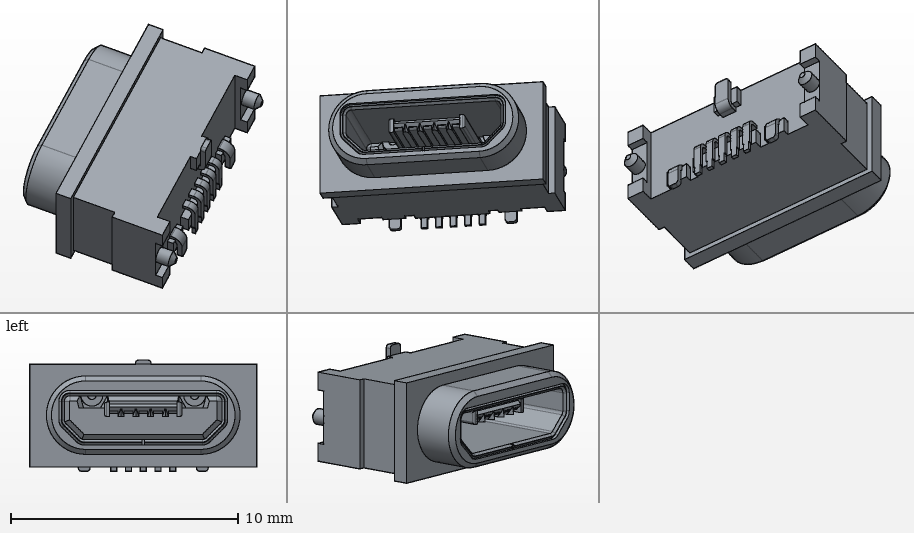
import cadquery as cq

FLANGE_FRONT = 2.0
FLANGE_BACK = 2.71
BODY_STEP = 4.7
BODY_BACK = 6.52
SIDE_BACK = 6.8
FOOT_BACK = 7.12
PIN_END = 7.62

WIDTH = 10.0
FLANGE_HEIGHT = 4.53
BODY_HEIGHT = 4.02
WAIST_WIDTH = 9.44
FOOT_SIZE = 0.81
NOSE_WIDTH = 8.52
NOSE_HEIGHT = 3.45
NOSE_Z = 0.02
NOSE_CHAMFER = 0.22

PIN_DIAMETER = 0.71
PIN_CHAMFER = 0.22
PIN_Z = -0.09
PIN_Y = (WIDTH - PIN_DIAMETER) / 2

MOUTH_HALF_WIDTH = 3.71
MOUTH_TOP = 1.11
MOUTH_BOTTOM = -1.29
MOUTH_CORNER = 0.91
MOUTH_ROUND = 0.48
MOUTH_LOWER_ROUND = 0.46
LIP_WALL = 0.24
LIP_FRONT = 0.06
LIP_BEVEL = 0.11
LIP_SEAM = 0.09
CAVITY_END = 5.6

PLUG_FRONT = 4.6
PLUG_BEVEL = 0.23
POCKET_BOTTOM = 0.34
POCKET_DEPTH = 0.26
POCKET_OUTER_TOP_Y = 2.97
POCKET_OUTER_BOTTOM_Y = 2.83
POCKET_INNER_TOP_Y = 1.38
POCKET_INNER_BOTTOM_Y = 1.68
POCKET_FLOOR_INSET = 0.2
LATCH_Y = 2.26
LATCH_Z = 0.9
LATCH_OUTER_RADIUS = 0.48
LATCH_INNER_RADIUS = 0.19
LATCH_LENGTH = 0.15

CONTACT_PITCH = 0.65
TONGUE_FRONT = 0.9
TONGUE_WIDTH = 3.42
TONGUE_TOP = 0.51
TONGUE_BOTTOM = -0.03
TONGUE_NOSE_Z = 0.37
TONGUE_TOP_SLOPE = 0.15
TONGUE_BOTTOM_SLOPE = 0.25
TONGUE_CHEEK_WIDTH = 0.23
TONGUE_CHEEK_TOP = 0.59
TONGUE_CHEEK_ROUND = 0.1
GROOVE_WIDTH = 0.38
GROOVE_TOP = 0.21
RIB_TOP = 0.3
RIB_WIDTH = CONTACT_PITCH - GROOVE_WIDTH
BLADE_BOTTOM = 0.09
BLADE_SETBACK = 0.2
SHOULDER_WIDTH = 3.16
SHOULDER_EDGE = 0.62

CONTACT_COUNT = 5
CONTACT_WIDTH = 0.35
CONTACT_TIP_WIDTH = 0.27
CONTACT_THICKNESS = 0.17
CONTACT_BEND = 0.35
CONTACT_TOP = -0.6
SUPPORT_WIDTH = 3.34
SUPPORT_BACK = 6.9
LEAD_END = 2.45

TAB_THICKNESS = 0.24
TAB_ROUND = 0.14
UPPER_TAB_WIDTH = 0.69
UPPER_TAB_BEND = 0.34
UPPER_TAB_START = 0.87
LOWER_TAB_WIDTH = 0.52
LOWER_TAB_BEND = 0.53
LOWER_TAB_START = -1.12
LOWER_TAB_Y = 2.6

TAB_REST_WIDTH = 1.22
REST_BACK = 6.81
SADDLE_WIDTH = 1.03
SADDLE_TOP = -1.21
SADDLE_DIP = 0.15

CONTACT_YS = [CONTACT_PITCH * (i - (CONTACT_COUNT - 1) / 2) for i in range(CONTACT_COUNT)]
RIB_YS = [(a + b) / 2 for a, b in zip(CONTACT_YS, CONTACT_YS[1:])]
BODY_BOTTOM = -BODY_HEIGHT / 2


def block(x_range, y_range, z_range):
    """Box between the given limits."""
    spans = (x_range, y_range, z_range)
    sizes = [high - low for low, high in spans]
    corner = [low for low, high in spans]
    return cq.Workplane("XY").box(*sizes, centered=False).translate(tuple(corner))


def centred_block(x_range, width, z_range, y=0):
    """Box of a given width centred on a Y position."""
    return block(x_range, (y - width / 2, y + width / 2), z_range)


def section(x):
    """Plane across the part: local axes are Y and Z, normal is +X."""
    return cq.Workplane("YZ", origin=(x, 0, 0))


def mouth_prism(inset, front, back, round_lower=True):
    """Mouth-shaped prism, its outline shrunk evenly by the inset."""
    corner_shift = inset * (2 - 2**0.5)
    half = MOUTH_HALF_WIDTH - inset
    top = MOUTH_TOP - inset
    bottom = MOUTH_BOTTOM + inset
    corner = MOUTH_CORNER - corner_shift
    outline = [
        (-half, top),
        (half, top),
        (half, bottom + corner),
        (half - corner, bottom),
        (corner - half, bottom),
        (-half, bottom + corner),
    ]
    prism = section(front).polyline(outline).close().extrude(back - front)
    prism = prism.edges("|X").filter(lambda edge: edge.Center().z > 0).fillet(MOUTH_ROUND - inset)
    if round_lower:
        lower_edges = prism.edges("|X").filter(lambda edge: edge.Center().z < 0)
        prism = lower_edges.fillet(MOUTH_LOWER_ROUND - inset)
    return prism


def make_housing():
    nose = (
        section(0)
        .center(0, NOSE_Z)
        .slot2D(NOSE_WIDTH, NOSE_HEIGHT)
        .extrude(FLANGE_FRONT)
        .faces("<X")
        .chamfer(NOSE_CHAMFER)
    )
    flange = centred_block((FLANGE_FRONT, FLANGE_BACK), WIDTH, (-FLANGE_HEIGHT / 2, FLANGE_HEIGHT / 2))
    body_z = (BODY_BOTTOM, -BODY_BOTTOM)
    waist = centred_block((FLANGE_BACK, BODY_STEP), WAIST_WIDTH, body_z)
    rear = centred_block((BODY_STEP, BODY_BACK), WIDTH, body_z)
    housing = nose.union(flange).union(waist).union(rear)

    for side in (-1, 1):
        y = side * (WIDTH - FOOT_SIZE) / 2
        housing = housing.union(centred_block((BODY_BACK, SIDE_BACK), FOOT_SIZE, body_z, y))
        for low in (BODY_BOTTOM, -BODY_BOTTOM - FOOT_SIZE):
            foot = centred_block((SIDE_BACK, FOOT_BACK), FOOT_SIZE, (low, low + FOOT_SIZE), y)
            housing = housing.union(foot)
        pin = (
            section(BODY_BACK)
            .center(side * PIN_Y, PIN_Z)
            .circle(PIN_DIAMETER / 2)
            .extrude(PIN_END - BODY_BACK)
            .faces(">X")
            .chamfer(PIN_CHAMFER)
        )
        housing = housing.union(pin)
    return housing


def cut_mouth(housing):
    """Open the cavity and leave a bevelled shell lip, split at the bottom, in its mouth."""
    lip_depth = 2 * LIP_BEVEL
    lip = mouth_prism(0, LIP_FRONT, LIP_FRONT + lip_depth)
    lip = lip.cut(mouth_prism(LIP_WALL, LIP_FRONT, LIP_FRONT + lip_depth))
    lip = lip.faces("<X").chamfer(LIP_BEVEL)
    seam_z = (MOUTH_BOTTOM, MOUTH_BOTTOM + LIP_WALL)
    lip = lip.cut(centred_block((LIP_FRONT, LIP_FRONT + LIP_BEVEL), LIP_SEAM, seam_z))

    housing = housing.cut(mouth_prism(0, 0, LIP_FRONT + lip_depth))
    housing = housing.cut(mouth_prism(LIP_WALL, 0, CAVITY_END))
    return housing.union(lip)


def make_plug():
    """Bevelled insulator block with a tapered pocket and a latch ring on each side of the tongue root."""
    plug = mouth_prism(LIP_WALL, PLUG_FRONT, CAVITY_END, round_lower=False)
    plug = plug.faces("<X").chamfer(PLUG_BEVEL)
    cavity_top = MOUTH_TOP - LIP_WALL
    floor = PLUG_FRONT + POCKET_DEPTH

    def pocket_outline(x, inset, side):
        outline = [
            (POCKET_INNER_TOP_Y + inset, cavity_top),
            (POCKET_OUTER_TOP_Y - inset, cavity_top),
            (POCKET_OUTER_BOTTOM_Y - inset, POCKET_BOTTOM),
            (POCKET_INNER_BOTTOM_Y + inset, POCKET_BOTTOM),
        ]
        return cq.Wire.makePolygon([cq.Vector(x, side * y, z) for y, z in outline], close=True)

    for side in (-1, 1):
        outlines = [pocket_outline(PLUG_FRONT, 0, side), pocket_outline(floor, POCKET_FLOOR_INSET, side)]
        plug = plug.cut(cq.Workplane(cq.Solid.makeLoft(outlines, True)))

    rings = (
        section(floor - LATCH_LENGTH)
        .pushPoints([(-LATCH_Y, LATCH_Z), (LATCH_Y, LATCH_Z)])
        .circle(LATCH_OUTER_RADIUS)
        .circle(LATCH_INNER_RADIUS)
        .extrude(LATCH_LENGTH)
    )
    rings = rings.intersect(centred_block((PLUG_FRONT, floor), WIDTH, (POCKET_BOTTOM, cavity_top)))
    shoulder = (
        centred_block((PLUG_FRONT, CAVITY_END), SHOULDER_WIDTH, (TONGUE_TOP, cavity_top))
        .edges("<X and >Z")
        .chamfer(cavity_top - SHOULDER_EDGE)
    )
    return plug.union(rings).union(shoulder)


def make_tongue():
    """Wedge-nosed tongue: rounded cheeks, pointed ribs and a contact blade in each groove."""
    profile = [
        (CAVITY_END, TONGUE_BOTTOM),
        (TONGUE_FRONT + TONGUE_BOTTOM_SLOPE, TONGUE_BOTTOM),
        (TONGUE_FRONT, TONGUE_NOSE_Z),
        (TONGUE_FRONT + TONGUE_TOP_SLOPE, TONGUE_TOP),
        (CAVITY_END, TONGUE_TOP),
    ]
    core_half_width = TONGUE_WIDTH / 2 - TONGUE_CHEEK_WIDTH
    tongue = cq.Workplane("XZ").polyline(profile).close().extrude(core_half_width, both=True)
    for y in CONTACT_YS:
        groove_x = (TONGUE_FRONT, CAVITY_END)
        tongue = tongue.cut(centred_block(groove_x, GROOVE_WIDTH, (TONGUE_BOTTOM, GROOVE_TOP), y))
        blade_x = (TONGUE_FRONT + BLADE_SETBACK, CAVITY_END)
        blade = centred_block(blade_x, GROOVE_WIDTH, (BLADE_BOTTOM, GROOVE_TOP), y)
        blade = blade.edges("<X and <Z").fillet((GROOVE_TOP - BLADE_BOTTOM) / 2)
        tongue = tongue.union(blade)
    for y in RIB_YS:
        rib_back = TONGUE_FRONT + TONGUE_BOTTOM_SLOPE
        point = [(TONGUE_FRONT, y), (rib_back, y + RIB_WIDTH / 2), (rib_back, y - RIB_WIDTH / 2)]
        rib = cq.Workplane("XY", origin=(0, 0, TONGUE_BOTTOM)).polyline(point).close()
        tongue = tongue.union(rib.extrude(RIB_TOP - TONGUE_BOTTOM))
    for side in (-1, 1):
        y = side * (TONGUE_WIDTH - TONGUE_CHEEK_WIDTH) / 2
        cheek_z = (TONGUE_BOTTOM, TONGUE_CHEEK_TOP)
        cheek = centred_block((TONGUE_FRONT, CAVITY_END), TONGUE_CHEEK_WIDTH, cheek_z, y)
        outer_face = cheek.faces(">Y" if side > 0 else "<Y")
        cheek = outer_face.edges("not >X").fillet(TONGUE_CHEEK_ROUND)
        tongue = tongue.union(cheek)
    return tongue


def bent_strip(width, thickness, bend, start_z, end_z, y):
    """Strip leaving the back face at start_z and bending up or down, flush with the feet, to end_z."""
    turn = 1 if end_z > start_z else -1
    diagonal = 0.5**0.5
    inner_bend = bend - thickness
    outer_x = FOOT_BACK
    bend_x = outer_x - bend
    centre_z = start_z + turn * bend
    profile = (
        cq.Workplane("XZ", origin=(0, y + width / 2, 0))
        .moveTo(BODY_BACK, start_z)
        .lineTo(bend_x, start_z)
        .threePointArc((bend_x + bend * diagonal, centre_z - turn * bend * diagonal), (outer_x, centre_z))
        .lineTo(outer_x, end_z)
        .lineTo(outer_x - thickness, end_z)
        .lineTo(outer_x - thickness, centre_z)
        .threePointArc(
            (bend_x + inner_bend * diagonal, centre_z - turn * inner_bend * diagonal),
            (bend_x, start_z + turn * thickness),
        )
        .lineTo(BODY_BACK, start_z + turn * thickness)
        .close()
    )
    return profile.extrude(width)


def make_contact(y):
    contact = bent_strip(CONTACT_WIDTH, CONTACT_THICKNESS, CONTACT_BEND, CONTACT_TOP, BODY_BOTTOM, y)
    tip_x = (FOOT_BACK - CONTACT_THICKNESS, FOOT_BACK)
    return contact.union(centred_block(tip_x, CONTACT_TIP_WIDTH, (-LEAD_END, BODY_BOTTOM), y))


def make_upper_tab():
    tab = bent_strip(UPPER_TAB_WIDTH, TAB_THICKNESS, UPPER_TAB_BEND, UPPER_TAB_START, LEAD_END, 0)
    return tab.faces(">Z").edges("|X").fillet(TAB_ROUND)


def make_lower_tab(y):
    tab = bent_strip(LOWER_TAB_WIDTH, TAB_THICKNESS, LOWER_TAB_BEND, LOWER_TAB_START, -LEAD_END, y)
    return tab.faces("<Z").edges("|X").fillet(TAB_ROUND)


def make_saddle(y):
    """Block under a lower tab, its top dished to a shallow V."""
    half = SADDLE_WIDTH / 2
    outline = [
        (y - half, BODY_BOTTOM),
        (y + half, BODY_BOTTOM),
        (y + half, SADDLE_TOP),
        (y, SADDLE_TOP - SADDLE_DIP),
        (y - half, SADDLE_TOP),
    ]
    return section(BODY_BACK).polyline(outline).close().extrude(REST_BACK - BODY_BACK)


def make_back_details():
    support = centred_block((BODY_BACK, SUPPORT_BACK), SUPPORT_WIDTH, (BODY_BOTTOM, SADDLE_TOP))
    rest_z = (UPPER_TAB_START + TAB_THICKNESS, -BODY_BOTTOM)
    rest = centred_block((BODY_BACK, REST_BACK), TAB_REST_WIDTH, rest_z)
    details = support.union(rest).union(make_upper_tab())
    for y in CONTACT_YS:
        details = details.union(make_contact(y))
    for y in (-LOWER_TAB_Y, LOWER_TAB_Y):
        details = details.union(make_saddle(y)).union(make_lower_tab(y))
    return details


result = cut_mouth(make_housing()).union(make_plug()).union(make_tongue()).union(make_back_details())